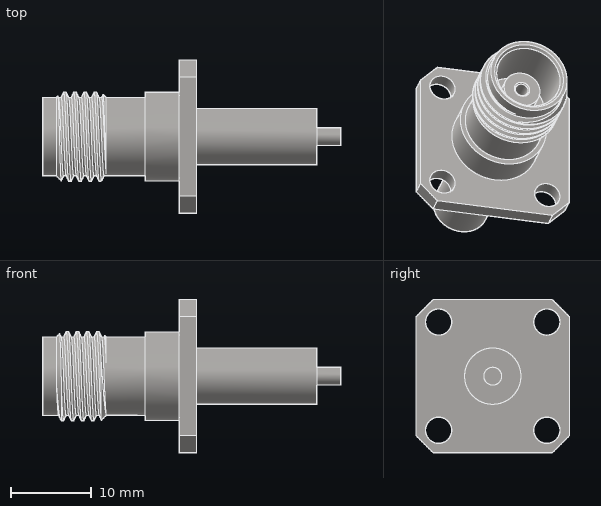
import cadquery as cq


collar_start = 12.7
flange_start = 16.93
flange_thickness = 2.15
barrel_end = 34.0
total_length = 36.95
flange_end = flange_start + flange_thickness

body_diameter = 9.75
collar_diameter = 11.0
barrel_diameter = 7.0
pin_diameter = 2.2

flange_side = 19.05
corner_chamfer = 2.15
hole_spacing = 13.4
hole_diameter = 3.2

bore_diameter = 8.13
bore_depth = 8.13
bore_mouth_diameter = 8.8
insulator_diameter = 4.6
insulator_setback = 3.47
socket_diameter = 1.63
socket_mouth_diameter = 1.95
socket_depth = 2.95

thread_start = 1.7
thread_end = 7.87
thread_diameter = 11.1
thread_pitch = 1.25
thread_crest_width = 0.3
thread_root_width = 1.0
thread_overlap = 0.07
sleeve_diameter = 11.25
sleeve_overrun = 0.2
helix_start = 0.55
helix_turns = 7


def cylinder(start, end, diameter):
    """Solid cylinder on the X axis between two stations."""
    return cq.Workplane("YZ").workplane(offset=start).circle(diameter / 2).extrude(end - start)


def make_flange():
    flange = (
        cq.Workplane("YZ")
        .workplane(offset=flange_start)
        .rect(flange_side, flange_side)
        .extrude(flange_thickness)
        .edges("|X")
        .chamfer(corner_chamfer)
    )
    return (
        flange.faces("<X")
        .workplane(centerOption="CenterOfBoundBox")
        .rect(hole_spacing, hole_spacing, forConstruction=True)
        .vertices()
        .hole(hole_diameter)
    )


def make_thread():
    """Helical ridge trimmed to a sleeve that tapers to the body at both ends."""
    body_radius = body_diameter / 2
    root_radius = body_radius - thread_overlap
    helix = cq.Wire.makeHelix(thread_pitch, helix_turns * thread_pitch, body_radius)
    ridge = (
        cq.Workplane("XZ")
        .moveTo(root_radius, -thread_root_width / 2)
        .lineTo(thread_diameter / 2, -thread_crest_width / 2)
        .lineTo(thread_diameter / 2, thread_crest_width / 2)
        .lineTo(root_radius, thread_root_width / 2)
        .close()
        .sweep(cq.Workplane(helix), isFrenet=True)
        .rotate((0, 0, 0), (0, 1, 0), 90)
        .rotate((0, 0, 0), (1, 0, 0), 180)
        .translate((helix_start, 0, 0))
    )
    taper = (sleeve_diameter - body_diameter) / 2 + sleeve_overrun
    sleeve_start = thread_start - sleeve_overrun
    sleeve_end = thread_end + sleeve_overrun
    sleeve = cylinder(sleeve_start, sleeve_end, sleeve_diameter).edges().chamfer(taper)
    return ridge.intersect(sleeve)


def cone(start, start_diameter, end_diameter):
    """45-degree tapered plug narrowing from its start station."""
    length = (start_diameter - end_diameter) / 2
    return (
        cq.Workplane("YZ")
        .workplane(offset=start)
        .circle(start_diameter / 2)
        .workplane(offset=length)
        .circle(end_diameter / 2)
        .loft()
    )


def make_cavity():
    """Chamfered bore around the insulator, plus the socket in the insulator face."""
    bore = cylinder(0, bore_depth, bore_diameter)
    bore_mouth = cone(0, bore_mouth_diameter, bore_diameter)
    insulator = cylinder(insulator_setback, bore_depth, insulator_diameter)
    socket = cylinder(insulator_setback, insulator_setback + socket_depth, socket_diameter)
    socket_mouth = cone(insulator_setback, socket_mouth_diameter, socket_diameter)
    return bore.union(bore_mouth).cut(insulator).union(socket).union(socket_mouth)


result = (
    cylinder(0, collar_start, body_diameter)
    .union(cylinder(collar_start, flange_start, collar_diameter))
    .union(make_flange())
    .union(cylinder(flange_end, barrel_end, barrel_diameter))
    .union(cylinder(barrel_end, total_length, pin_diameter))
    .union(make_thread())
    .cut(make_cavity())
)